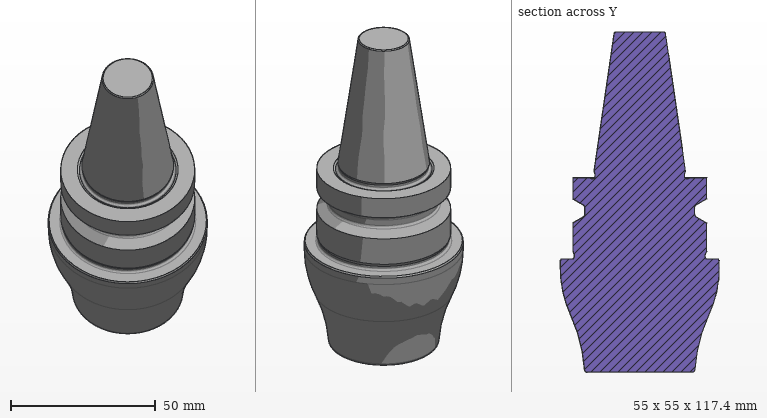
import cadquery as cq
import math

total_height = 117.4

taper_base_radius = 15.8
taper_base_z = 69.3
taper_rate = 7 / 24
tip_chamfer = 0.4

shank_relief_radius = 15.5
shank_relief_z = 68.5
shank_fillet = 0.8
recess_depth = 0.4
recess_floor_radius = 16.7
recess_outer_radius = 17.4

flange_radius = 23.1
flange_top_z = 67.2
flange_bottom_z = 41.7
groove_root_radius = 19.0
groove_top_z = 59.8
groove_bottom_z = 51.5
groove_wall_angle = 60.0
groove_fillet = 1.2

neck_radius = 22.7
neck_top_z = 40.6
neck_fillet = 0.8

nut_radius = 27.5
nut_top_z = 39.1
nut_chamfer_width = 0.4
nut_chamfer_height = 0.6
nut_band_bottom_z = 36.0
bulge_end_radius = 24.0
bulge_end_z = 19.8
waist_radius = 20.0
waist_z = 7.4
nose_radius = 19.1
nose_round = 0.9


def concave_fillet(profile, wall_radius, floor_z, fillet):
    """Join a wall, followed downwards, to a floor running outwards."""
    diagonal = fillet * (1 - math.sqrt(0.5))
    return (
        profile.lineTo(wall_radius, floor_z + fillet)
        .threePointArc(
            (wall_radius + diagonal, floor_z + diagonal),
            (wall_radius + fillet, floor_z),
        )
    )


def gripper_groove(profile):
    """Follow the groove downwards, with a fillet at each end of its root."""
    wall_angle = math.radians(groove_wall_angle)
    wall_height = (flange_radius - groove_root_radius) / math.tan(wall_angle)
    root_top_z = groove_top_z - wall_height
    root_bottom_z = groove_bottom_z + wall_height
    tangent_length = groove_fillet * math.tan(wall_angle / 2)
    fillet_radius_end = groove_root_radius + tangent_length * math.sin(wall_angle)
    fillet_rise = tangent_length * math.cos(wall_angle)
    return (
        profile.lineTo(flange_radius, groove_top_z)
        .lineTo(fillet_radius_end, root_top_z + fillet_rise)
        .tangentArcPoint((groove_root_radius, root_top_z - tangent_length), relative=False)
        .lineTo(groove_root_radius, root_bottom_z + tangent_length)
        .tangentArcPoint((fillet_radius_end, root_bottom_z - fillet_rise), relative=False)
        .lineTo(flange_radius, groove_bottom_z)
    )


def nut(profile):
    """Follow the bulging nut outline down to the bottom face."""
    return (
        profile.lineTo(nut_radius - nut_chamfer_width, nut_top_z)
        .lineTo(nut_radius, nut_top_z - nut_chamfer_height)
        .lineTo(nut_radius, nut_band_bottom_z)
        .tangentArcPoint((bulge_end_radius, bulge_end_z), relative=False)
        .threePointArc((waist_radius, waist_z), (nose_radius, nose_round))
        .tangentArcPoint((nose_radius - nose_round, 0), relative=False)
        .lineTo(0, 0)
    )


tip_radius = taper_base_radius - (total_height - taper_base_z) * taper_rate / 2
chamfer_base_radius = tip_radius + tip_chamfer * taper_rate / 2

outline = (
    cq.Workplane("XZ")
    .moveTo(0, total_height)
    .lineTo(tip_radius - tip_chamfer, total_height)
    .lineTo(chamfer_base_radius, total_height - tip_chamfer)
    .lineTo(taper_base_radius, taper_base_z)
    .lineTo(shank_relief_radius, shank_relief_z)
)
outline = concave_fillet(outline, shank_relief_radius, flange_top_z - recess_depth, shank_fillet)
outline = (
    outline.lineTo(recess_floor_radius, flange_top_z - recess_depth)
    .lineTo(recess_outer_radius, flange_top_z)
    .lineTo(flange_radius, flange_top_z)
)
outline = gripper_groove(outline)
outline = outline.lineTo(flange_radius, flange_bottom_z).lineTo(neck_radius, neck_top_z)
outline = concave_fillet(outline, neck_radius, nut_top_z, neck_fillet)
outline = nut(outline)

result = outline.close().revolve(360, (0, 0, 0), (0, 1, 0))